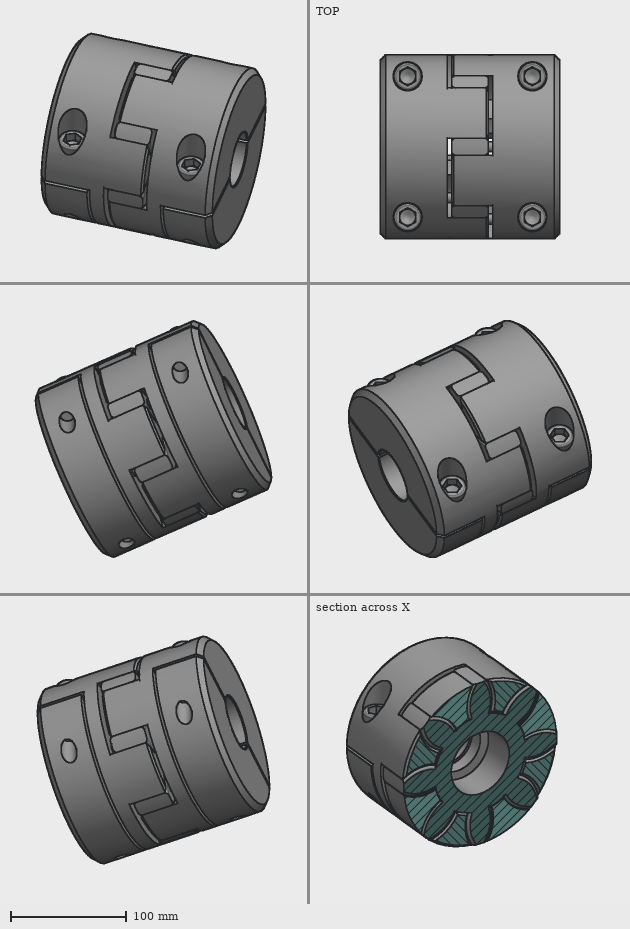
import cadquery as cq
import math


length = 156.0
outer_radius = 80.0
bore_diameter = 48.0
bore_chamfer = 1.0
rim_chamfer = 5.0

jaws_per_hub = 4
jaw_pitch = 360 / jaws_per_hub
leg_pitch = jaw_pitch / 2
leg_count = 2 * jaws_per_hub
first_jaw_angle = 1.5 * leg_pitch
jaw_inner_radius = 47.5
jaw_chamfer = 1.9
flank_radius = 77.0 / 2
leg_mid_radius = 58.5
leg_half_width = 13.6
leg_fillet = 3.0
half_spider = 16.0
hub_face = 19.7
spider_bore_diameter = 60.0
bump_diameter = 9.0
bump_circle_radius = 62.5
tool_margin = 3.2
tool_radius = outer_radius + tool_margin
tool_end_x = half_spider + tool_margin

split_width = 3.2
relief_width = 2.5
relief_x = 33.6

screw_x = 54.0
screw_y = 61.1
seat_z = 23.0
head_diameter = 24.0
head_height = 16.0
head_fillet = 1.6
counterbore_diameter = 25.0
shank_diameter = 16.0
clearance_diameter = 17.0
exit_diameter = 13.8
screw_end_z = -27.0
socket_flats = 14.0
socket_depth = 8.0
socket_tip_depth = 3.2


def polar(radius, angle):
    """Point of the YZ plane; the angle in degrees runs from +Y to +Z."""
    return (radius * math.cos(math.radians(angle)), radius * math.sin(math.radians(angle)))


def leg_half_angle(radius):
    """Half of the angle that a leg covers at the given distance from the axis."""
    centre_offset = flank_radius - leg_half_width
    centre_distance = math.hypot(leg_mid_radius, centre_offset)
    centre_angle = math.atan2(-centre_offset, leg_mid_radius)
    cosine = (centre_distance**2 + radius**2 - flank_radius**2) / (2 * centre_distance * radius)
    return math.degrees(centre_angle + math.acos(cosine))


inner_half_angle = leg_half_angle(jaw_inner_radius)
outer_half_angle = leg_half_angle(outer_radius)
tool_half_angle = leg_half_angle(tool_radius)
flank_mid_distance = math.hypot(leg_mid_radius, leg_half_width)
flank_mid_half_angle = math.degrees(math.atan2(leg_half_width, leg_mid_radius))


def x_plane(x):
    return cq.Workplane("YZ", origin=(x, 0, 0))


def make_jaw_prism(angle):
    """Jaw centred on the angle, filling the space between two legs and a little beyond."""
    low = angle - leg_pitch / 2
    high = angle + leg_pitch / 2
    return (
        x_plane(-hub_face)
        .moveTo(*polar(jaw_inner_radius, low + inner_half_angle))
        .threePointArc(
            polar(flank_mid_distance, low + flank_mid_half_angle),
            polar(tool_radius, low + tool_half_angle),
        )
        .threePointArc(polar(tool_radius, angle), polar(tool_radius, high - tool_half_angle))
        .threePointArc(
            polar(flank_mid_distance, high - flank_mid_half_angle),
            polar(jaw_inner_radius, high - inner_half_angle),
        )
        .threePointArc(
            polar(jaw_inner_radius, angle),
            polar(jaw_inner_radius, low + inner_half_angle),
        )
        .close()
        .extrude(hub_face + tool_end_x)
    )


def make_jaw_gaps():
    """Everything in front of the hub face except the jaws."""
    gaps = x_plane(-hub_face).circle(tool_radius + tool_margin).extrude(hub_face + tool_end_x)
    for index in range(jaws_per_hub):
        gaps = gaps.cut(make_jaw_prism(first_jaw_angle + index * jaw_pitch))
    return gaps


def make_screw(y):
    """Socket head clamp screw with its axis along Z."""
    head = (
        cq.Workplane("XY", origin=(-screw_x, y, seat_z))
        .circle(head_diameter / 2)
        .extrude(head_height)
        .faces(">Z")
        .edges()
        .fillet(head_fillet)
    )
    shank = (
        cq.Workplane("XY", origin=(-screw_x, y, screw_end_z))
        .circle(shank_diameter / 2)
        .extrude(seat_z - screw_end_z)
    )
    socket_corners = socket_flats / math.cos(math.pi / 6)
    head_top = seat_z + head_height
    socket = (
        cq.Workplane("XY", origin=(-screw_x, y, head_top))
        .transformed(rotate=(0, 0, 90))
        .polygon(6, socket_corners)
        .extrude(-socket_depth)
    )
    tip = cq.Workplane(
        cq.Solid.makeCone(
            socket_flats / 2,
            0,
            socket_tip_depth,
            pnt=cq.Vector(-screw_x, y, head_top - socket_depth),
            dir=cq.Vector(0, 0, -1),
        )
    )
    return head.union(shank).cut(socket).cut(tip)


def drill(y, diameter, bottom, top):
    return (
        cq.Workplane("XY", origin=(-screw_x, y, bottom)).circle(diameter / 2).extrude(top - bottom)
    )


def make_hub():
    """Hub on the -X side with its jaws, clamp cap and clamp screws."""
    body_length = length / 2 + half_spider
    hub = x_plane(-length / 2).circle(outer_radius).extrude(body_length)
    hub = hub.faces("<X").edges().chamfer(rim_chamfer)
    hub = hub.cut(make_jaw_gaps())
    hub = hub.faces(">X").edges().chamfer(jaw_chamfer)

    hub = hub.cut(x_plane(-length / 2).circle(bore_diameter / 2).extrude(body_length))
    bore_cone = cq.Solid.makeCone(
        bore_diameter / 2 + bore_chamfer,
        bore_diameter / 2,
        bore_chamfer,
        pnt=cq.Vector(-length / 2, 0, 0),
        dir=cq.Vector(1, 0, 0),
    )
    hub = hub.cut(cq.Workplane(bore_cone))

    relief_inner_x = relief_x - relief_width / 2
    split_length = length / 2 - relief_inner_x
    split = cq.Workplane("XY").box(split_length, 2 * outer_radius, split_width)
    split = split.translate((-relief_inner_x - split_length / 2, 0, 0))
    relief_height = outer_radius + split_width / 2
    relief = cq.Workplane("XY").box(relief_width, 2 * outer_radius, relief_height)
    relief = relief.translate((-relief_x, 0, split_width / 2 - relief_height / 2))
    hub = hub.cut(split).cut(relief)

    for y in (-screw_y, screw_y):
        hub = hub.cut(drill(y, counterbore_diameter, seat_z, outer_radius))
        hub = hub.cut(drill(y, clearance_diameter, 0, seat_z))
        hub = hub.cut(drill(y, exit_diameter, -outer_radius, 0))
        hub = hub.union(make_screw(y))
    return hub


def make_leg():
    """One spider leg along +Y, with rounded edges along both flanks."""
    leg = (
        x_plane(-half_spider)
        .moveTo(*polar(jaw_inner_radius, -inner_half_angle))
        .threePointArc(
            polar(flank_mid_distance, -flank_mid_half_angle),
            polar(outer_radius, -outer_half_angle),
        )
        .threePointArc(polar(outer_radius, 0), polar(outer_radius, outer_half_angle))
        .threePointArc(
            polar(flank_mid_distance, flank_mid_half_angle),
            polar(jaw_inner_radius, inner_half_angle),
        )
        .close()
        .extrude(2 * half_spider)
    )
    flank_edges = cq.selectors.BoxSelector(
        (-outer_radius, jaw_inner_radius, -outer_radius),
        (outer_radius, outer_radius - leg_fillet, outer_radius),
    )
    return leg.edges(flank_edges).fillet(leg_fillet)


def make_spider():
    """Ring with legs; spacer bumps alternate between its two faces."""
    spider = (
        x_plane(-half_spider)
        .circle(jaw_inner_radius)
        .circle(spider_bore_diameter / 2)
        .extrude(2 * half_spider)
    )
    leg = make_leg()
    bump_height = hub_face - half_spider
    for index in range(leg_count):
        angle = index * leg_pitch
        spider = spider.union(leg.rotate((0, 0, 0), (1, 0, 0), angle))
        side = 1 if index % 2 == 0 else -1
        bump = (
            x_plane(side * half_spider)
            .center(*polar(bump_circle_radius, angle))
            .circle(bump_diameter / 2)
            .extrude(side * bump_height)
        )
        spider = spider.union(bump)
    return spider


left_hub = make_hub()
right_hub = left_hub.rotate((0, 0, 0), (0, 0, 1), 180)
spider = make_spider()

result = cq.Compound.makeCompound(
    [left_hub.solids().val(), right_hub.solids().val(), spider.solids().val()]
)